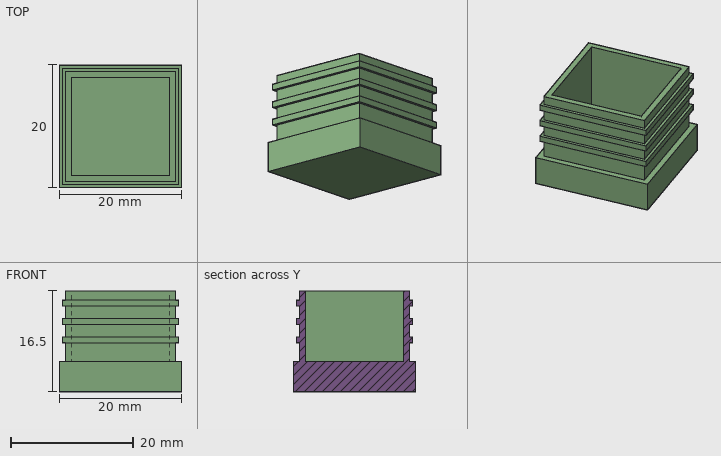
import cadquery as cq

head_side = 20.0
head_height = 5.0
total_height = 16.5
body_side = 18.0
wall = 1.0

rib_side = 19.0
rib_height = 1.0
rib_count = 3
rib_pitch = 3.0
first_rib_z = 8.0

body_height = total_height - head_height
cavity_side = body_side - 2 * wall


def square_block(side, height, bottom_z):
    """Square block centred on the Z axis, standing on bottom_z."""
    return cq.Workplane("XY").workplane(offset=bottom_z).rect(side, side).extrude(height)


result = square_block(head_side, head_height, 0)
result = result.union(square_block(body_side, body_height, head_height))

for index in range(rib_count):
    rib_z = first_rib_z + index * rib_pitch
    result = result.union(square_block(rib_side, rib_height, rib_z))

result = result.cut(square_block(cavity_side, body_height, head_height))